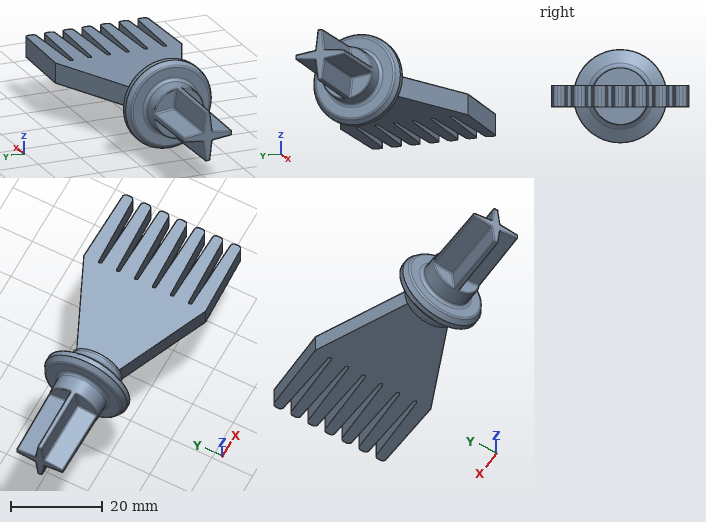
import cadquery as cq
import math


stem_end_radius = 5.7
stem_radius = 6.0
flange_front = 20.2
stem_fillet = 0.75
flange_diameter = 20.3
flange_radius = flange_diameter / 2
rim_start = 21.65
rim_end = 22.85
front_bevel_angle = 30
front_edge_round = 0.55
back_cone_angle = 60
collar_radius = 6.2
collar_end = 26.9
collar_fillet = 2.1

pocket_depth = 15.75
web_root_half = 1.1
web_tip_half = 0.5
web_thickening = 0.1
pocket_fillet = 0.3
pocket_reach = 8.05
pocket_rim_round = 0.235

comb_thickness = 4.7
comb_width = 30.0
neck_width = 10.2
comb_embed = 1.35
shoulder_x = 49.1
comb_end = 67.05
finger_count = 7
finger_pitch = 4.4
finger_tip_width = 2.4
finger_tip_round = 0.9
slot_bottom_x = 49.1
slot_bottom_radius = 0.4


def round_circle(solid, x, radius, fillet):
    """Round the circular edge of the given radius about the X axis at x."""
    edge_margin = 0.035
    reach = radius + edge_margin
    around_circle = cq.selectors.BoxSelector(
        (x - edge_margin, -reach, -reach),
        (x + edge_margin, reach, reach),
        boundingbox=True,
    )
    return solid.edges(around_circle).edges("%CIRCLE").fillet(fillet)


def turned_body():
    """Stem, flange and collar as one revolved profile."""
    bevel_rise = (rim_start - flange_front) * math.tan(math.radians(front_bevel_angle))
    bevel_radius = flange_radius - bevel_rise
    cone_length = (flange_radius - collar_radius) / math.tan(math.radians(back_cone_angle))
    cone_end = rim_end + cone_length
    body = (
        cq.Workplane("XY")
        .moveTo(0, 0)
        .lineTo(0, stem_end_radius)
        .lineTo(flange_front, stem_radius)
        .lineTo(flange_front, bevel_radius)
        .lineTo(rim_start, flange_radius)
        .lineTo(rim_end, flange_radius)
        .lineTo(cone_end, collar_radius)
        .lineTo(collar_end, collar_radius)
        .lineTo(collar_end, 0)
        .close()
        .revolve(360, (0, 0, 0), (1, 0, 0))
    )

    body = round_circle(body, flange_front, stem_radius, stem_fillet)
    body = round_circle(body, flange_front, bevel_radius, front_edge_round)
    return round_circle(body, cone_end, collar_radius, collar_fillet)


def pocket():
    """One quadrant pocket, narrowing slightly toward its floor."""
    web_slope = (web_root_half - web_tip_half) / (stem_end_radius - web_root_half)

    def section(thickening):
        root = web_root_half + thickening
        tip = root - web_slope * (pocket_reach - root)
        return [(root, root), (pocket_reach, tip), (pocket_reach, pocket_reach), (tip, pocket_reach)]

    return (
        cq.Workplane("YZ")
        .polyline(section(0))
        .close()
        .workplane(offset=pocket_depth)
        .polyline(section(web_thickening))
        .close()
        .loft(ruled=True)
    )


def round_pocket(cutter):
    """Round the pocket's corner between the webs and the edges at its floor."""
    corner = (pocket_depth / 2, web_root_half, web_root_half)
    floor_y_web = (pocket_depth, pocket_reach / 2, web_root_half)
    floor_z_web = (pocket_depth, web_root_half, pocket_reach / 2)
    edges = cutter.edges(cq.selectors.NearestToPointSelector(corner))
    edges = edges.add(cutter.edges(cq.selectors.NearestToPointSelector(floor_y_web)))
    edges = edges.add(cutter.edges(cq.selectors.NearestToPointSelector(floor_z_web)))
    return edges.fillet(pocket_fillet)


def comb():
    """Flared plate with tapered, round-tipped fingers."""
    finger_span = (finger_count - 1) * finger_pitch
    tip_half = (finger_span + finger_tip_width) / 2
    neck_half = neck_width / 2
    shoulder_half = comb_width / 2
    root_x = collar_end - comb_embed
    plate = (
        cq.Workplane("XY")
        .polyline([
            (root_x, -neck_half),
            (collar_end, -neck_half),
            (shoulder_x, -shoulder_half),
            (comb_end, -tip_half),
            (comb_end, tip_half),
            (shoulder_x, shoulder_half),
            (collar_end, neck_half),
            (root_x, neck_half),
        ])
        .close()
        .extrude(comb_thickness / 2, both=True)
    )
    slot_mouth_half = (finger_pitch - finger_tip_width) / 2
    arc_x = slot_bottom_x + slot_bottom_radius
    for index in range(finger_count - 1):
        y = (index + 0.5) * finger_pitch - finger_span / 2
        slot = (
            cq.Workplane("XY")
            .moveTo(comb_end, y - slot_mouth_half)
            .lineTo(arc_x, y - slot_bottom_radius)
            .threePointArc((slot_bottom_x, y), (arc_x, y + slot_bottom_radius))
            .lineTo(comb_end, y + slot_mouth_half)
            .close()
            .extrude(comb_thickness, both=True)
        )
        plate = plate.cut(slot)
    return plate.faces(">X").edges("|Z").fillet(finger_tip_round)


def round_pocket_rims(solid):
    """Soften the web edges and pocket rims on the free end and the stem's outside."""
    beyond_pockets = pocket_depth + 2 * pocket_rim_round
    pocket_zone = cq.selectors.BoxSelector(
        (-pocket_rim_round, -pocket_reach, -pocket_reach),
        (beyond_pockets, pocket_reach, pocket_reach),
    )
    rims = solid.faces("<X").edges()
    rims = rims.add(solid.faces("%CONE").edges(pocket_zone))
    return rims.fillet(pocket_rim_round)


body = turned_body().rotate((0, 0, 0), (1, 0, 0), 45)
cutter = round_pocket(pocket())
for quarter in range(4):
    angle = 90 * quarter
    body = body.cut(cutter.rotate((0, 0, 0), (1, 0, 0), angle))
body = round_pocket_rims(body)

result = body.union(comb())